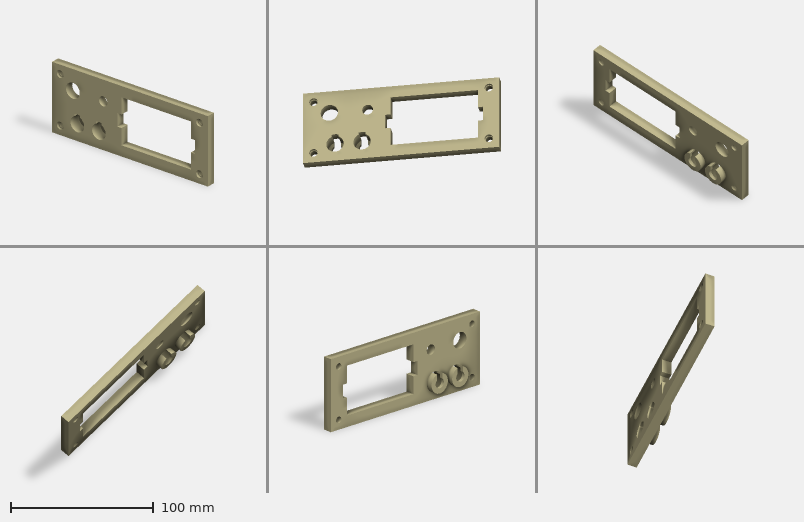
import cadquery as cq

plate_length = 139.9
plate_height = 55.0
plate_thickness = 7.0

screw_inset = 7.4
screw_diameter = 4.9
screw_recess_diameter = 6.0
screw_recess_depth = 2.0

upper_hole_z = 38.0
large_hole_x = 18.7
large_hole_diameter = 12.3
small_hole_x = 46.0
small_hole_diameter = 7.7

window_left = 62.4
window_length = 62.4
window_height = 37.5
left_notch_depth = 3.8
right_notch_depth = 3.5
notch_height = 10.6

socket_centers_x = (22.8, 42.1)
socket_z = 13.2
boss_diameter = 15.2
boss_height = 5.0
socket_bore_diameter = 12.3
socket_hole_diameter = 7.7
key_width = 4.9
socket_web = boss_height / 2

total_depth = plate_thickness + boss_height


def rod(x, z, diameter, start_y, length):
    """Cylinder along +Y, starting at start_y."""
    return cq.Workplane("XY").add(
        cq.Solid.makeCylinder(diameter / 2, length, cq.Vector(x, start_y, z), cq.Vector(0, 1, 0))
    )


def block(x, z, length, height, depth):
    """Box from y = 0 to y = depth, with its lower left corner at (x, z)."""
    return cq.Workplane("XY").box(length, depth, height, centered=False).translate((x, 0, z))


def screw_hole(x, z):
    hole = rod(x, z, screw_diameter, 0, plate_thickness)
    return hole.union(rod(x, z, screw_recess_diameter, 0, screw_recess_depth))


def window():
    opening = block(
        window_left, (plate_height - window_height) / 2, window_length, window_height, plate_thickness
    )
    notch_band = block(
        window_left - left_notch_depth,
        (plate_height - notch_height) / 2,
        left_notch_depth + window_length + right_notch_depth,
        notch_height,
        plate_thickness,
    )
    return opening.union(notch_band)


def socket_cut(x):
    bore = rod(x, socket_z, socket_bore_diameter, 0, total_depth - socket_web)
    hole = rod(x, socket_z, socket_hole_diameter, 0, total_depth)
    slot = block(x - key_width / 2, socket_z, key_width, boss_diameter, total_depth)
    key = slot.intersect(rod(x, socket_z, boss_diameter, 0, total_depth))
    return bore.union(hole).union(key)


result = block(0, 0, plate_length, plate_height, plate_thickness)

for socket_x in socket_centers_x:
    result = result.union(rod(socket_x, socket_z, boss_diameter, plate_thickness, boss_height))
    result = result.cut(socket_cut(socket_x))

for screw_x in (screw_inset, plate_length - screw_inset):
    for screw_z in (screw_inset, plate_height - screw_inset):
        result = result.cut(screw_hole(screw_x, screw_z))

result = result.cut(rod(large_hole_x, upper_hole_z, large_hole_diameter, 0, plate_thickness))
result = result.cut(rod(small_hole_x, upper_hole_z, small_hole_diameter, 0, plate_thickness))
result = result.cut(window())